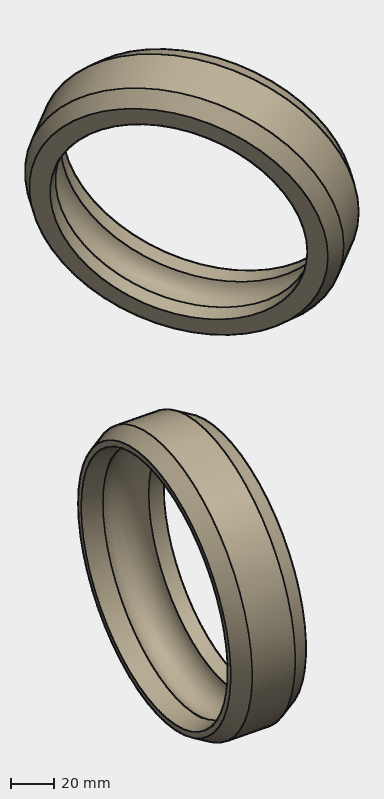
import cadquery as cq
import math

outer_diameter = 155.0
bore_diameter = 125.0
width = 40.0

bevel_depth = 5.0
bevel_angle = 30.0
bevel_width = bevel_depth / math.tan(math.radians(bevel_angle))

raceway_radius = 12.2
raceway_bottom_radius = 71.9

relief_start_radius = 67.0
relief_end_radius = 69.5

outer_radius = outer_diameter / 2
bore_radius = bore_diameter / 2
half_width = width / 2
rim_radius = outer_radius - bevel_depth
bevel_start = half_width - bevel_width

raceway_centre_radius = raceway_bottom_radius - raceway_radius


def raceway_offset(radius):
    """Distance along the axis from mid-width to the raceway at a given radius."""
    return math.sqrt(raceway_radius**2 - (radius - raceway_centre_radius) ** 2)


section = (
    cq.Workplane("XY")
    .moveTo(bore_radius, -half_width)
    .lineTo(rim_radius, -half_width)
    .lineTo(outer_radius, -bevel_start)
    .lineTo(outer_radius, bevel_start)
    .lineTo(rim_radius, half_width)
    .lineTo(relief_end_radius, half_width)
    .lineTo(relief_start_radius, raceway_offset(relief_start_radius))
    .threePointArc((raceway_bottom_radius, 0), (bore_radius, -raceway_offset(bore_radius)))
    .close()
)

result = section.revolve(360, (0, 0, 0), (0, 1, 0))